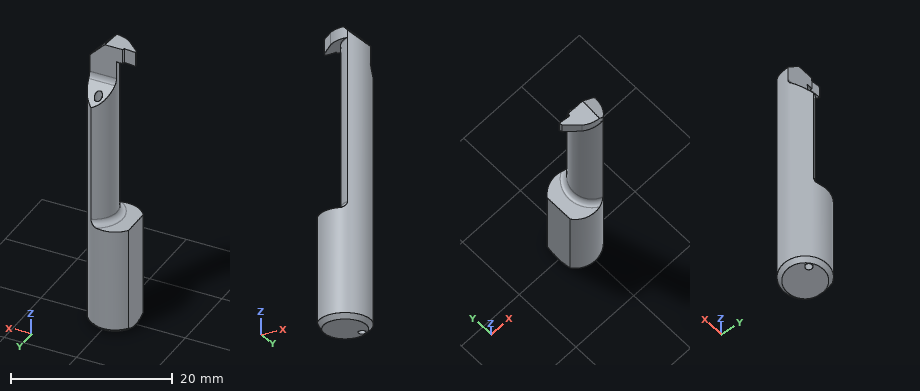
import cadquery as cq
import math

total_length = 40.0
shank_diameter = 7.0
shank_radius = shank_diameter / 2
shank_length = 15.0
width_across_flat = 6.35
flat_x = shank_radius - width_across_flat
end_chamfer = 0.6

neck_radius = 3.1
neck_axis_x = 2.9
neck_fillet = 0.8

head_thickness = 2.1
rake_y = 0.15
tip_x = -2.8
tip_land_corner = (-2.7, -0.4)
flank_end = (-0.9, -2.1)
heel_middle = (0.4, -2.8)
chip_groove_bottom = (-1.15, -0.15)
chip_groove_top = (-1.1, rake_y)

corner_x = 1.4
top_relief = 0.065
corner_relief = 0.1
underside_relief = 0.09

runout_z = 35.0
runout_radius = 1.2

coolant_diameter = 1.0
coolant_x = 1.45
coolant_y = 1.8

margin = 2.0
reach = shank_radius + margin


def bar(radius, center_x, bottom_z, top_z):
    """Vertical cylinder between two heights."""
    return cq.Workplane("XY", origin=(center_x, 0, bottom_z)).circle(radius).extrude(top_z - bottom_z)


def make_shank():
    shank = bar(shank_radius, 0, 0, shank_length).faces("<Z").chamfer(end_chamfer)
    flat_cut = cq.Workplane("XY").box(margin, 2 * reach, shank_length, centered=(True, True, False))
    return shank.cut(flat_cut.translate((flat_x - margin / 2, 0, 0)))


def make_neck():
    """Neck with a concave flare blending into the top of the shank."""
    blend_top = shank_length + neck_fillet
    corner_inset = neck_fillet * (1 - math.sqrt(0.5))
    flare = (
        cq.Workplane("XZ")
        .moveTo(0, shank_length)
        .lineTo(neck_radius + neck_fillet, shank_length)
        .threePointArc(
            (neck_radius + corner_inset, shank_length + corner_inset),
            (neck_radius, blend_top),
        )
        .lineTo(neck_radius, total_length)
        .lineTo(0, total_length)
        .close()
        .revolve(360, (0, 0, 0), (0, 1, 0))
        .translate((neck_axis_x, 0, 0))
    )
    return flare.intersect(bar(shank_radius, 0, shank_length, total_length))


def make_head():
    """Hooked tip extruded from its plan outline, with the underside rising toward -Y."""
    heel_x = (shank_radius**2 - neck_radius**2 + neck_axis_x**2) / (2 * neck_axis_x)
    heel_y = -math.sqrt(shank_radius**2 - heel_x**2)
    head_bottom = total_length - head_thickness
    outline = (
        cq.Workplane("XY", origin=(0, 0, head_bottom))
        .moveTo(tip_x, 0)
        .lineTo(*tip_land_corner)
        .lineTo(*flank_end)
        .threePointArc(heel_middle, (heel_x, heel_y))
        .lineTo(heel_x, rake_y)
        .lineTo(*chip_groove_top)
        .lineTo(*chip_groove_bottom)
        .close()
        .extrude(head_thickness)
    )
    underside_rise = underside_relief * reach
    underside_cut = (
        cq.Workplane("YZ", origin=(-reach, 0, 0))
        .polyline([(0, head_bottom), (-reach, head_bottom), (-reach, head_bottom + underside_rise)])
        .close()
        .extrude(2 * reach)
    )
    return outline.cut(underside_cut)


def relief_section(y):
    """Material removed above the top and the bevelled corner at a given Y."""
    depth = rake_y - y
    top_z = total_length - top_relief * depth
    bevel_sum = total_length + corner_x - corner_relief * depth
    ceiling = total_length + margin
    return [
        cq.Vector(-reach, y, top_z),
        cq.Vector(bevel_sum - top_z, y, top_z),
        cq.Vector(reach, y, bevel_sum - reach),
        cq.Vector(reach, y, ceiling),
        cq.Vector(-reach, y, ceiling),
    ]


def make_relief_cut():
    sections = [cq.Wire.makePolygon(relief_section(y), close=True) for y in (rake_y, -reach)]
    return cq.Workplane(obj=cq.Solid.makeLoft(sections, True))


def make_rear_clearance():
    ceiling = total_length + margin
    run = reach - rake_y
    clearance = (
        cq.Workplane("YZ", origin=(-reach, 0, 0))
        .polyline([(rake_y, runout_z), (reach, runout_z - run), (reach, ceiling), (rake_y, ceiling)])
        .close()
        .extrude(2 * reach)
    )
    inner_edge = cq.selectors.NearestToPointSelector((0, rake_y, runout_z))
    return clearance.edges(inner_edge).fillet(runout_radius)


coolant_hole = bar(coolant_diameter / 2, coolant_x, 0, total_length).translate((0, coolant_y, 0))

result = (
    make_shank()
    .union(make_neck())
    .union(make_head())
    .cut(make_rear_clearance())
    .cut(make_relief_cut())
    .cut(coolant_hole)
)